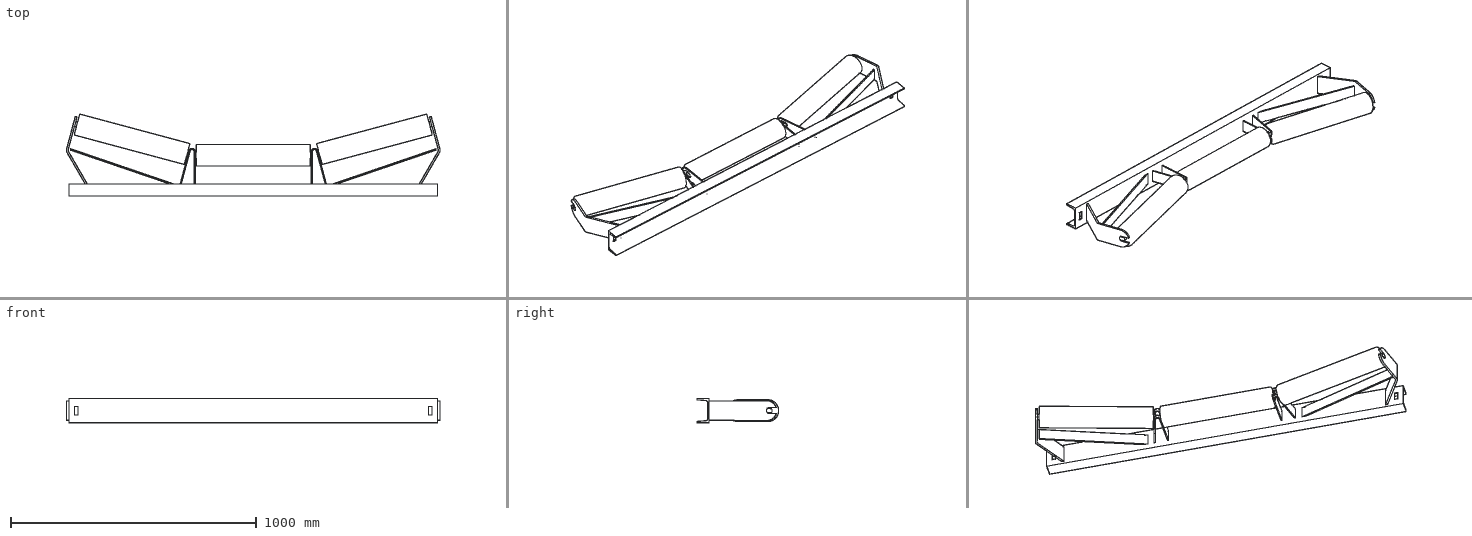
import cadquery as cq
import math


BEAM_LENGTH = 1500
BEAM_DEPTH = 100
BEAM_FLANGE = 50
WEB_THICKNESS = 5.5
FLANGE_THICKNESS = 8.5
FLANGE_TAPER = 0.08
ROOT_RADIUS = 8.5
TIP_RADIUS = 3.5
MOUNT_SLOT_SPACING = 1440
MOUNT_SLOT_WIDTH = 14
MOUNT_SLOT_LENGTH = 34

TROUGH_ANGLE = 15
ROLLER_RADIUS = 44.5
ROLLER_LENGTH = 465
ROLLER_EDGE_RADIUS = 4
INNER_GAP = 3.5
OUTER_GAP = 7
SHAFT_RADIUS = 12
SHAFT_FLAT_WIDTH = 16

INNER_WIDTH = 50
INNER_THICKNESS = 5
INNER_BEND_RADIUS = 10.5
END_WIDTH = 80
END_THICKNESS = 8
END_BEND_RADIUS = 16
END_LEG_ANGLE = 30
END_TOP_DROP = 8
BRACKET_REACH = 761.1

BRACE_WIDTH = 50
BRACE_THICKNESS = 6
BRACE_FOOT_X = -324
BRACE_TOP_Y = 193

ROLLER_AXIS_Y = 166.36
ARCH_DROP = 15

SIN = math.sin(math.radians(TROUGH_ANGLE))
COS = math.cos(math.radians(TROUGH_ANGLE))

INNER_UPRIGHT_X = -(ROLLER_LENGTH / 2 + INNER_GAP + INNER_THICKNESS / 2)
ARCH_X = INNER_UPRIGHT_X - INNER_BEND_RADIUS
ARCH_Y = ROLLER_AXIS_Y + ARCH_DROP

SIDE_ORIGIN = (
    ARCH_X - INNER_BEND_RADIUS * COS - ARCH_DROP * SIN,
    ARCH_Y + INNER_BEND_RADIUS * SIN - ARCH_DROP * COS,
)
SIDE_ROLLER_CENTRE = INNER_THICKNESS / 2 + INNER_GAP + ROLLER_LENGTH / 2


def side_point(along, across=0.0):
    """Point measured along the left side roller's axis and upward across it."""
    return (
        SIDE_ORIGIN[0] - along * COS + across * SIN,
        SIDE_ORIGIN[1] + along * SIN + across * COS,
    )


def make_beam():
    """Channel along X with a mounting slot through the web near each end."""
    half = BEAM_DEPTH / 2
    root_thickness = FLANGE_THICKNESS + FLANGE_TAPER * (BEAM_FLANGE / 2 - WEB_THICKNESS)
    tip_thickness = FLANGE_THICKNESS - FLANGE_TAPER * BEAM_FLANGE / 2
    web_y = BEAM_FLANGE - WEB_THICKNESS
    beam = (
        cq.Workplane("XY")
        .polyline([
            (0, half),
            (BEAM_FLANGE, half),
            (BEAM_FLANGE, -half),
            (0, -half),
            (0, tip_thickness - half),
            (web_y, root_thickness - half),
            (web_y, half - root_thickness),
            (0, half - tip_thickness),
        ])
        .close()
        .extrude(BEAM_LENGTH)
    )
    roundings = [(0, tip_thickness, TIP_RADIUS), (web_y, root_thickness, ROOT_RADIUS)]
    for y, thickness, radius in roundings:
        for side in (-1, 1):
            corner = (y, side * (half - thickness), BEAM_LENGTH / 2)
            beam = beam.edges(cq.selectors.NearestToPointSelector(corner)).fillet(radius)
    beam = beam.rotate((0, 0, 0), (1, 1, 1), 120).translate((-BEAM_LENGTH / 2, 0, 0))
    slots = (
        cq.Workplane("XZ", origin=(0, BEAM_FLANGE, 0))
        .pushPoints([(-MOUNT_SLOT_SPACING / 2, 0), (MOUNT_SLOT_SPACING / 2, 0)])
        .rect(MOUNT_SLOT_WIDTH, MOUNT_SLOT_LENGTH)
        .extrude(WEB_THICKNESS)
    )
    return beam.cut(slots)


def make_roller(shaft_left, shaft_right):
    """Roller centred on the origin along X; its shaft ends stick out by the given lengths."""
    shell = (
        cq.Workplane("YZ", origin=(-ROLLER_LENGTH / 2, 0, 0))
        .circle(ROLLER_RADIUS)
        .extrude(ROLLER_LENGTH)
        .edges("%CIRCLE")
        .fillet(ROLLER_EDGE_RADIUS)
    )
    shaft_length = shaft_left + ROLLER_LENGTH + shaft_right
    shaft_start = -ROLLER_LENGTH / 2 - shaft_left
    shaft = cq.Workplane("YZ", origin=(shaft_start, 0, 0)).circle(SHAFT_RADIUS).extrude(shaft_length)
    flats = (
        cq.Workplane("YZ", origin=(shaft_start, 0, 0))
        .rect(2 * SHAFT_RADIUS, SHAFT_FLAT_WIDTH)
        .extrude(shaft_length)
    )
    return shell.union(shaft.intersect(flats))


def make_centre_roller():
    """Level roller between the two inner brackets."""
    stub = INNER_GAP + INNER_THICKNESS
    return make_roller(stub, stub).translate((0, ROLLER_AXIS_Y, 0))


def make_side_roller():
    """Left roller, tilted up toward its end bracket."""
    x, y = side_point(SIDE_ROLLER_CENTRE)
    roller = make_roller(OUTER_GAP + END_THICKNESS, INNER_GAP + INNER_THICKNESS)
    return roller.rotate((0, 0, 0), (0, 0, 1), -TROUGH_ANGLE).translate((x, y, 0))


def make_shaft_slot(depth, height):
    """Open-topped slot seating a shaft: axis along X at the origin, from x = 0 to the given depth."""
    plane = cq.Workplane("YZ")
    seat = plane.circle(SHAFT_RADIUS).extrude(depth)
    opening = plane.center(height / 2, 0).rect(height, 2 * SHAFT_RADIUS).extrude(depth)
    return seat.union(opening)


def make_inner_bracket():
    """Inverted U of flat bar: an upright beside the centre roller, a leg square to the side roller."""
    outer = INNER_BEND_RADIUS + INNER_THICKNESS / 2
    inner = INNER_BEND_RADIUS - INNER_THICKNESS / 2

    def bend_point(radius, angle):
        a = math.radians(angle)
        return (ARCH_X + radius * math.cos(a), ARCH_Y + radius * math.sin(a))

    def leg_foot(radius):
        x, y = bend_point(radius, 180 - TROUGH_ANGLE)
        return (x - (y - BEAM_FLANGE) * SIN / COS, BEAM_FLANGE)

    bend_end = 180 - TROUGH_ANGLE
    bracket = (
        cq.Workplane("XY")
        .moveTo(ARCH_X + outer, BEAM_FLANGE)
        .lineTo(*bend_point(outer, 0))
        .threePointArc(bend_point(outer, bend_end / 2), bend_point(outer, bend_end))
        .lineTo(*leg_foot(outer))
        .lineTo(*leg_foot(inner))
        .lineTo(*bend_point(inner, bend_end))
        .threePointArc(bend_point(inner, bend_end / 2), bend_point(inner, 0))
        .lineTo(ARCH_X + inner, BEAM_FLANGE)
        .close()
        .extrude(INNER_WIDTH / 2, both=True)
    )
    height = ARCH_DROP + 2 * outer
    upright_slot = make_shaft_slot(outer, height).translate((ARCH_X, ROLLER_AXIS_Y, 0))
    x, y = side_point(-INNER_BEND_RADIUS)
    leg_slot = (
        make_shaft_slot(-outer, height)
        .rotate((0, 0, 0), (0, 0, 1), -TROUGH_ANGLE)
        .translate((x, y, 0))
    )
    return bracket.cut(upright_slot).cut(leg_slot)


END_FACE_ALONG = INNER_THICKNESS / 2 + INNER_GAP + ROLLER_LENGTH + OUTER_GAP
END_BEND_X = END_BEND_RADIUS - BRACKET_REACH
END_BEND_ALONG = END_FACE_ALONG + END_THICKNESS - END_BEND_RADIUS
END_BEND_ACROSS = (END_BEND_X - side_point(END_BEND_ALONG)[0]) / SIN
END_BEND_Y = side_point(END_BEND_ALONG, END_BEND_ACROSS)[1]


def make_end_bracket():
    """Flat bar rising outward from the beam, bent square to the side roller, with a round slotted top."""
    top_across = END_WIDTH / 2 - END_TOP_DROP
    lean = math.radians(END_LEG_ANGLE)
    foot_shift = END_THICKNESS / math.cos(lean)

    def bend_point(radius, angle):
        a = math.radians(angle)
        return (END_BEND_X - radius * math.cos(a), END_BEND_Y + radius * math.sin(a))

    outer = END_BEND_RADIUS
    inner = END_BEND_RADIUS - END_THICKNESS
    foot_start = bend_point(outer, -END_LEG_ANGLE)
    foot_x = foot_start[0] + (foot_start[1] - BEAM_FLANGE) * math.tan(lean)
    bracket = (
        cq.Workplane("XY")
        .moveTo(foot_x, BEAM_FLANGE)
        .lineTo(*foot_start)
        .threePointArc(bend_point(outer, 0), bend_point(outer, TROUGH_ANGLE))
        .lineTo(*side_point(END_FACE_ALONG + END_THICKNESS, top_across))
        .lineTo(*side_point(END_FACE_ALONG, top_across))
        .lineTo(*bend_point(inner, TROUGH_ANGLE))
        .threePointArc(bend_point(inner, 0), bend_point(inner, -END_LEG_ANGLE))
        .lineTo(foot_x + foot_shift, BEAM_FLANGE)
        .close()
        .extrude(END_WIDTH / 2, both=True)
    )
    top_half = END_WIDTH / 2
    corners = (
        cq.Workplane("YZ", origin=(-END_THICKNESS, 0, 0))
        .center(top_half / 2 - END_TOP_DROP, 0)
        .rect(top_half, END_WIDTH)
        .extrude(END_THICKNESS)
        .cut(
            cq.Workplane("YZ", origin=(-END_THICKNESS, 0, 0))
            .center(-END_TOP_DROP, 0)
            .circle(top_half)
            .extrude(END_THICKNESS)
        )
    )
    openings = corners.union(make_shaft_slot(-END_THICKNESS, END_WIDTH))
    x, y = side_point(END_FACE_ALONG)
    openings = openings.rotate((0, 0, 0), (0, 0, 1), -TROUGH_ANGLE).translate((x, y, 0))
    return bracket.cut(openings)


def make_brace(end_bracket):
    """Flat bar from the beam up to the inside of the end bracket's bend, trimmed to the bracket."""
    joint_x = END_BEND_X + (BRACE_TOP_Y - END_BEND_Y) * SIN / COS
    slope = math.atan2(BRACE_TOP_Y - BEAM_FLANGE, BRACE_FOOT_X - joint_x)
    drop = BRACE_THICKNESS / math.cos(slope)
    foot_shift = BRACE_THICKNESS / math.sin(slope)
    brace = (
        cq.Workplane("XY")
        .moveTo(BRACE_FOOT_X, BEAM_FLANGE)
        .lineTo(joint_x, BRACE_TOP_Y)
        .lineTo(joint_x, BRACE_TOP_Y - drop)
        .lineTo(BRACE_FOOT_X - foot_shift, BEAM_FLANGE)
        .close()
        .extrude(BRACE_WIDTH / 2, both=True)
    )
    return brace.cut(end_bracket)


def both_sides(left):
    """The left-hand body and its mirror image on the right, as two separate solids."""
    return [left.val(), left.mirror("YZ").val()]


beam = make_beam()
centre_roller = make_centre_roller()
side_rollers = both_sides(make_side_roller())
inner_brackets = both_sides(make_inner_bracket())
left_end_bracket = make_end_bracket()
end_brackets = both_sides(left_end_bracket)
braces = both_sides(make_brace(left_end_bracket))

result = cq.Compound.makeCompound([
    beam.val(),
    centre_roller.val(),
    *side_rollers,
    *inner_brackets,
    *end_brackets,
    *braces,
])